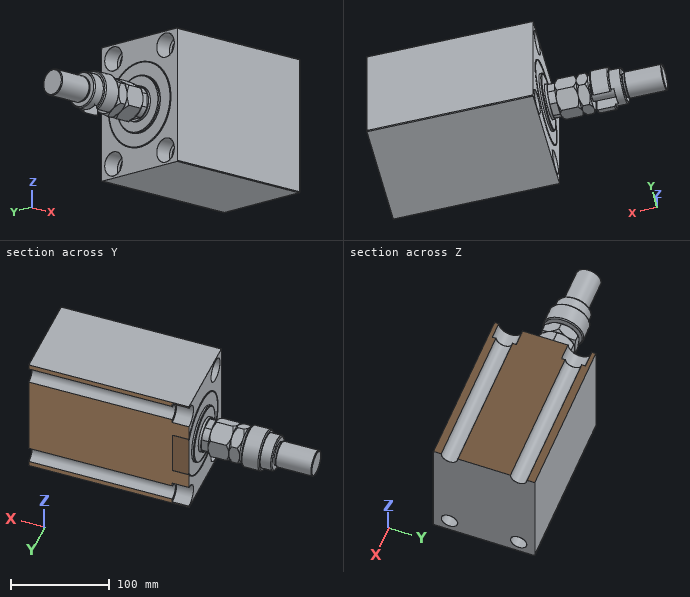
import cadquery as cq
import math


OVERALL_LENGTH = 297.5
FRONT_REACH = 123.8
BLOCK_LENGTH = OVERALL_LENGTH - FRONT_REACH
BLOCK_WIDTH = 110.0
BLOCK_HEIGHT = 140.0
BLOCK_CHAMFER = 1.0
BOLT_SPACING_Y = 75.0
BOLT_SPACING_Z = 110.0
BOLT_HOLE_DIAMETER = 17.5
COUNTERBORE_DIAMETER = 25.3
COUNTERBORE_DEPTH = 18.0

GLAND_RADIUS = 44.5
GLAND_DEPTH = 17.8
GLAND_CHAMFER = 0.75
BOSS_RADIUS = 30.0
BOSS_LENGTH = 2.7
BOSS_CHAMFER = 1.0

ROD_RADIUS = 18.5
ROD_COLLAR_LENGTH = 2.7
NECK_RADIUS = 17.5
NECK_LENGTH = 7.7
NECK_ACROSS_FLATS = 32.0

HEX_ACROSS_FLATS = 36.5
HEX_CHAMFER_LENGTH = 2.7
THICK_HEX_LENGTH = 22.5
THIN_HEX_LENGTH = 12.0
PIN_RADIUS = 9.2

COUPLING_GAP = 2.7
CUP_RADIUS = 22.0
CUP_LENGTH = 19.5
CUP_CHAMFER = 1.2
RING_RADIUS = 18.7
RING_LENGTH = 12.5
RING_CHAMFER = 1.2
SLOT_INTO_RING = 3.0
UNDERCUT_RADIUS = 12.5
UNDERCUT_LENGTH = 1.8
TIP_RADIUS = 13.7
TIP_CHAMFER = 1.0

BOSS_X = -BOSS_LENGTH
COLLAR_X = BOSS_X - ROD_COLLAR_LENGTH
ROD_END_X = COLLAR_X - NECK_LENGTH
HEX_JOINT_X = ROD_END_X - THICK_HEX_LENGTH
HEX_END_X = HEX_JOINT_X - THIN_HEX_LENGTH
CUP_BACK_X = HEX_END_X - COUPLING_GAP
CUP_FRONT_X = CUP_BACK_X - CUP_LENGTH
RING_FRONT_X = CUP_FRONT_X - RING_LENGTH
SLOT_END_X = CUP_FRONT_X - SLOT_INTO_RING
TIP_BACK_X = RING_FRONT_X - UNDERCUT_LENGTH
TIP_X = -FRONT_REACH


def cylinder_x(radius, x_start, x_end):
    """Cylinder on the X axis between two stations."""
    return cq.Workplane("YZ").workplane(offset=x_start).circle(radius).extrude(x_end - x_start)


def box_x(x_start, x_end, width, height):
    """Box centred on the X axis between two stations."""
    return cq.Workplane("YZ").workplane(offset=x_start).rect(width, height).extrude(x_end - x_start)


def make_block():
    block = box_x(0, BLOCK_LENGTH, BLOCK_WIDTH, BLOCK_HEIGHT).edges("|X").chamfer(BLOCK_CHAMFER)
    block = (
        block.faces("<X")
        .workplane(origin=(0, 0, 0))
        .rect(BOLT_SPACING_Y, BOLT_SPACING_Z, forConstruction=True)
        .vertices()
        .cboreHole(BOLT_HOLE_DIAMETER, COUNTERBORE_DIAMETER, COUNTERBORE_DEPTH)
    )
    return block.cut(cylinder_x(GLAND_RADIUS, 0, GLAND_DEPTH))


def make_gland():
    disc = cylinder_x(GLAND_RADIUS, 0, GLAND_DEPTH).faces("<X").chamfer(GLAND_CHAMFER)
    boss = cylinder_x(BOSS_RADIUS, BOSS_X, 0).faces("<X").chamfer(BOSS_CHAMFER)
    return disc.union(boss).cut(cylinder_x(ROD_RADIUS, BOSS_X, GLAND_DEPTH))


def make_rod():
    neck = cylinder_x(NECK_RADIUS, ROD_END_X, COLLAR_X)
    neck = neck.intersect(box_x(ROD_END_X, COLLAR_X, NECK_ACROSS_FLATS, NECK_ACROSS_FLATS))
    return cylinder_x(ROD_RADIUS, COLLAR_X, GLAND_DEPTH).union(neck)


def make_hexagon(x_start, x_end):
    """Hexagon with corners at +Z and -Z, its corners chamfered down to the flats at both ends."""
    inner_radius = HEX_ACROSS_FLATS / 2
    outer_radius = inner_radius / math.cos(math.pi / 6)
    prism = (
        cq.Workplane("YZ")
        .workplane(offset=x_start)
        .polygon(6, 2 * outer_radius)
        .extrude(x_end - x_start)
        .rotate((0, 0, 0), (1, 0, 0), 90)
    )
    corner_limit = cylinder_x(outer_radius, x_start, x_end)
    corner_limit = corner_limit.faces("<X or >X").chamfer(HEX_CHAMFER_LENGTH, outer_radius - inner_radius)
    return prism.intersect(corner_limit)


def make_hex_stud():
    thick_hex = make_hexagon(HEX_JOINT_X, ROD_END_X)
    thin_hex = make_hexagon(HEX_END_X, HEX_JOINT_X)
    pin = cylinder_x(PIN_RADIUS, SLOT_END_X, HEX_END_X)
    return thick_hex.union(thin_hex).union(pin)


def make_coupling():
    cup = cylinder_x(CUP_RADIUS, CUP_FRONT_X, CUP_BACK_X).faces("<X or >X").chamfer(CUP_CHAMFER)
    ring = cylinder_x(RING_RADIUS, RING_FRONT_X, CUP_FRONT_X).faces("<X").chamfer(RING_CHAMFER)
    undercut = cylinder_x(UNDERCUT_RADIUS, TIP_BACK_X, RING_FRONT_X)
    tip = cylinder_x(TIP_RADIUS, TIP_X, TIP_BACK_X).faces("<X or >X").chamfer(TIP_CHAMFER)
    coupling = cup.union(ring).union(undercut).union(tip)

    slot_floor = cylinder_x(PIN_RADIUS, SLOT_END_X, CUP_BACK_X)
    slot_walls = box_x(SLOT_END_X, CUP_BACK_X, 2 * PIN_RADIUS, CUP_RADIUS)
    slot_walls = slot_walls.translate((0, 0, -CUP_RADIUS / 2))
    return coupling.cut(slot_floor).cut(slot_walls)


block = make_block()
gland = make_gland()
rod = make_rod()
hex_stud = make_hex_stud()
coupling = make_coupling()

result = cq.Compound.makeCompound(
    [block.val(), gland.val(), rod.val(), hex_stud.val(), coupling.val()]
)